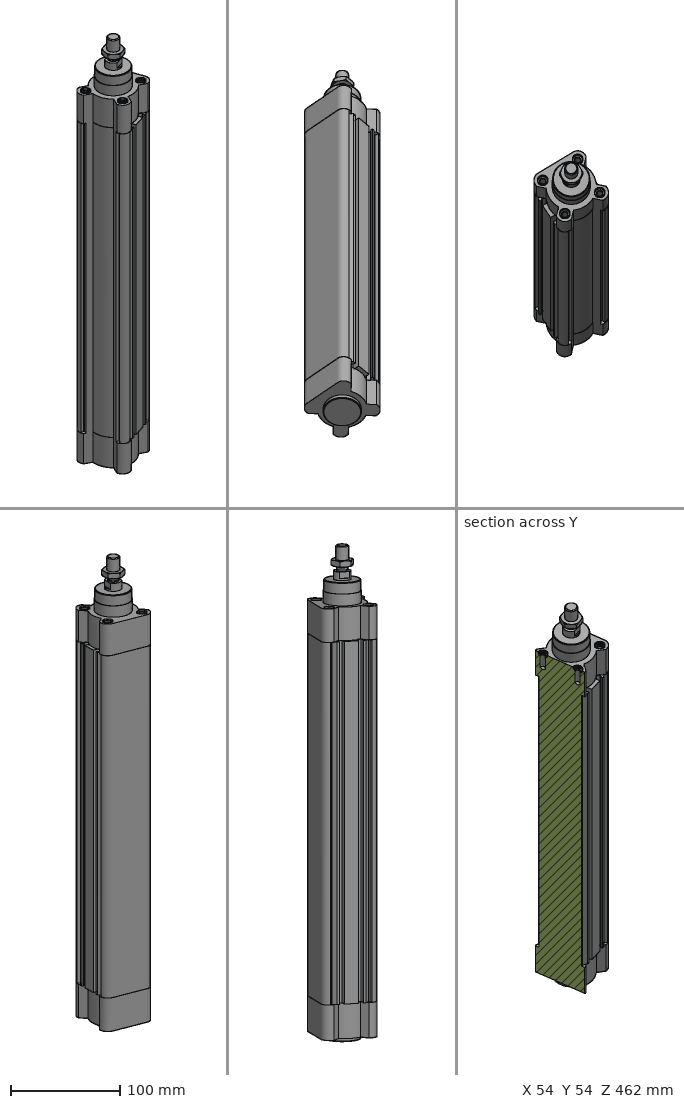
import cadquery as cq
import math

TOTAL_HEIGHT = 462.0
REAR_BOSS_HEIGHT = 4.0
REAR_CAP_TOP = 37.5
BARREL_TOP = 377.0
FRONT_CAP_TOP = 408.5
FRONT_BOSS_STEP = 419.5
FRONT_BOSS_TOP = 430.0

WIDTH = 54.0
HALF_WIDTH = WIDTH / 2
SCREW_SPACING = 38.0
CORNER_CENTRE = SCREW_SPACING / 2
LOBE_FLAT_END = 17.0
FLANK_OFFSET = HALF_WIDTH - LOBE_FLAT_END
CAP_ARC_RADIUS = 23.0
BARREL_INSET = 0.25
BARREL_HALF_WIDTH = HALF_WIDTH - BARREL_INSET
BARREL_ARC_RADIUS = CAP_ARC_RADIUS - BARREL_INSET

BOSS_RADIUS = 17.5
PILOT_RADIUS = 17.0
BOSS_CHAMFER = 0.7

NOTCH_DEPTH = 3.2
NOTCH_OUTER = 20.0
NOTCH_FLOOR_OUTER = 19.0
NOTCH_INNER = 14.0
NOTCH_FLOOR_INNER = 17.5

SLOT_MOUTH_OUTER = 11.5
SLOT_MOUTH_INNER = 7.0
SLOT_LIP = 2.0
SLOT_UNDERCUT = 2.5
SLOT_FLOOR = 20.0

RECESS_DIAMETER = 9.5
RECESS_DEPTH = 1.5
SEAT_DIAMETER = 9.0
SEAT_DEPTH = 3.0
THREAD_RELIEF_DIAMETER = 6.0
THREAD_RELIEF_DEPTH = 4.0
SCREW_HOLE_DIAMETER = 5.0
SCREW_HOLE_DEPTH = 18.5
DRILL_TIP_ANGLE = 118.0

ROD_DIAMETER = 16.0
ROD_RADIUS = ROD_DIAMETER / 2
ROD_SHOULDER = 438.0
ROD_FLAT_WIDTH = 13.0
ROD_FLAT_BOTTOM = 432.0
ROD_SOCKET_DEPTH = 4.5
THREAD_RADIUS = 6.0
THREAD_CHAMFER = 1.0
NECK_RADIUS = 5.0
COLLAR_DIAMETER = 10.5
COLLAR_TOP = 439.3
NECK_TOP = 441.5

NUT_BOTTOM = 443.0
NUT_HEIGHT = 5.5
NUT_ACROSS_FLATS = 19.0
NUT_CHAMFER_RADIUS = 9.5
NUT_CHAMFER_ANGLE = 30.0


def bar(outline, bottom, top):
    """Straight bar with the given outline between two heights."""
    return outline.extrude(top - bottom).translate((0, 0, bottom))


def disc(radius, bottom, top):
    return cq.Workplane("XY", origin=(0, 0, bottom)).circle(radius).extrude(top - bottom)


def cylinder_profile(half_width, arc_radius):
    """Bar outline: flat +Y side, three scalloped sides and a rounded lobe at each corner."""
    flank_end = (math.sqrt(2 * arc_radius ** 2 - FLANK_OFFSET ** 2) - FLANK_OFFSET) / 2
    wall = flank_end + FLANK_OFFSET
    tip = CORNER_CENTRE + (half_width - CORNER_CENTRE) * math.sqrt(0.5)
    h, c, s = half_width, CORNER_CENTRE, half_width - FLANK_OFFSET
    return (
        cq.Workplane("XY")
        .moveTo(-c, h)
        .lineTo(c, h)
        .threePointArc((tip, tip), (h, c))
        .lineTo(h, s)
        .lineTo(wall, flank_end)
        .threePointArc((arc_radius, 0), (wall, -flank_end))
        .lineTo(h, -s)
        .lineTo(h, -c)
        .threePointArc((tip, -tip), (c, -h))
        .lineTo(s, -h)
        .lineTo(flank_end, -wall)
        .threePointArc((0, -arc_radius), (-flank_end, -wall))
        .lineTo(-s, -h)
        .lineTo(-c, -h)
        .threePointArc((-tip, -tip), (-h, -c))
        .lineTo(-h, -s)
        .lineTo(-wall, -flank_end)
        .threePointArc((-arc_radius, 0), (-wall, flank_end))
        .lineTo(-h, s)
        .lineTo(-h, c)
        .threePointArc((-tip, tip), (-c, h))
        .close()
    )


def mirrored(shape, plane):
    return shape.union(shape.mirror(plane))


def side_block():
    """Solid block that fills the scallop on the -X side out to the barrel's width."""
    block = cq.Workplane("XY").polyline(
        [
            (-SLOT_FLOOR, -CORNER_CENTRE),
            (-BARREL_HALF_WIDTH, -CORNER_CENTRE),
            (-BARREL_HALF_WIDTH, CORNER_CENTRE),
            (-SLOT_FLOOR, CORNER_CENTRE),
        ]
    ).close()
    return bar(block, REAR_CAP_TOP, BARREL_TOP)


def sensor_slot():
    """Slot on the -X side at +Y, undercut behind the lip on its outer edge."""
    lip_back = SLOT_LIP - BARREL_HALF_WIDTH
    outline = cq.Workplane("XY").polyline(
        [
            (-BARREL_HALF_WIDTH, SLOT_MOUTH_INNER),
            (-BARREL_HALF_WIDTH, SLOT_MOUTH_OUTER),
            (lip_back, SLOT_MOUTH_OUTER),
            (lip_back + SLOT_UNDERCUT, SLOT_MOUTH_OUTER + SLOT_UNDERCUT),
            (-SLOT_FLOOR, SLOT_MOUTH_OUTER),
            (-SLOT_FLOOR, SLOT_MOUTH_INNER),
        ]
    ).close()
    return bar(outline, REAR_CAP_TOP, BARREL_TOP)


def lobe_notch():
    """Notch beside the -X, -Y lobe, open to the -Y side."""
    floor = NOTCH_DEPTH - BARREL_HALF_WIDTH
    outline = cq.Workplane("XY").polyline(
        [
            (-NOTCH_OUTER, -BARREL_HALF_WIDTH),
            (-NOTCH_FLOOR_OUTER, floor),
            (-NOTCH_FLOOR_INNER, floor),
            (-NOTCH_INNER, -BARREL_HALF_WIDTH),
        ]
    ).close()
    return bar(outline, REAR_CAP_TOP, BARREL_TOP)


def barrel():
    body = bar(cylinder_profile(BARREL_HALF_WIDTH, BARREL_ARC_RADIUS), REAR_CAP_TOP, BARREL_TOP)
    body = body.union(mirrored(side_block(), "YZ"))
    front_notch = lobe_notch()
    side_notch = front_notch.mirror("XZ").rotate((0, 0, 0), (0, 0, 1), 90)
    side_cuts = mirrored(side_notch.union(sensor_slot()), "XZ")
    return body.cut(mirrored(front_notch, "YZ")).cut(mirrored(side_cuts, "YZ"))


def front_boss():
    pilot = disc(PILOT_RADIUS, FRONT_BOSS_STEP, FRONT_BOSS_TOP).faces(">Z").chamfer(BOSS_CHAMFER)
    return disc(BOSS_RADIUS, FRONT_CAP_TOP, FRONT_BOSS_STEP).union(pilot)


def rear_boss():
    return disc(BOSS_RADIUS, 0, REAR_BOSS_HEIGHT).faces("<Z").chamfer(BOSS_CHAMFER)


def screw_holes():
    """Recessed, drill-pointed holes at the four corners of the front cap."""
    corners = [
        (sx * CORNER_CENTRE, sy * CORNER_CENTRE) for sx in (-1, 1) for sy in (-1, 1)
    ]
    tip_depth = SCREW_HOLE_DIAMETER / 2 / math.tan(math.radians(DRILL_TIP_ANGLE / 2))
    steps = [
        (RECESS_DIAMETER, RECESS_DEPTH),
        (SEAT_DIAMETER, SEAT_DEPTH),
        (THREAD_RELIEF_DIAMETER, THREAD_RELIEF_DEPTH),
        (SCREW_HOLE_DIAMETER, SCREW_HOLE_DEPTH),
    ]
    section = [(0, 0)]
    floor = 0
    for diameter, depth in steps:
        section += [(diameter / 2, floor), (diameter / 2, -depth)]
        floor = -depth
    section.append((0, floor - tip_depth))
    half_section = cq.Workplane("XZ").polyline(section).close()
    hole = half_section.revolve(360, (0, 0, 0), (0, 1, 0)).val()
    return [hole.translate(cq.Vector(x, y, FRONT_CAP_TOP)) for x, y in corners]


def make_rod():
    """Piston rod with wrench flats, a neck and a threaded end."""
    bottom = FRONT_BOSS_TOP - ROD_SOCKET_DEPTH
    rod = disc(ROD_RADIUS, bottom, ROD_SHOULDER)
    flats = (
        cq.Workplane("XY", origin=(0, 0, ROD_FLAT_BOTTOM))
        .rect(2 * ROD_DIAMETER, 2 * ROD_DIAMETER)
        .rect(ROD_FLAT_WIDTH, ROD_DIAMETER)
        .extrude(ROD_SHOULDER - ROD_FLAT_BOTTOM)
    )
    rod = rod.cut(flats)
    thread = disc(THREAD_RADIUS, NECK_TOP, TOTAL_HEIGHT).faces(">Z").chamfer(THREAD_CHAMFER)
    collar = disc(COLLAR_DIAMETER / 2, ROD_SHOULDER, COLLAR_TOP)
    neck = disc(NECK_RADIUS, COLLAR_TOP, NECK_TOP)
    return rod.union(collar).union(neck).union(thread)


def make_housing():
    """Front cap, barrel and rear cap in one piece, with a socket for the rod."""
    front_cap = bar(cylinder_profile(HALF_WIDTH, CAP_ARC_RADIUS), BARREL_TOP, FRONT_CAP_TOP)
    rear_cap = bar(cylinder_profile(HALF_WIDTH, CAP_ARC_RADIUS), REAR_BOSS_HEIGHT, REAR_CAP_TOP)
    for hole in screw_holes():
        front_cap = front_cap.cut(cq.Workplane(hole))
    housing = barrel().union(front_cap).union(rear_cap)
    housing = housing.union(front_boss()).union(rear_boss())
    return housing.cut(disc(ROD_RADIUS, FRONT_BOSS_TOP - ROD_SOCKET_DEPTH, FRONT_BOSS_TOP))


def make_nut():
    """Hexagon nut with corners towards +Y and -Y and both ends chamfered."""
    across_corners = NUT_ACROSS_FLATS / math.cos(math.pi / 6)
    chamfer = across_corners / 2 - NUT_CHAMFER_RADIUS
    chamfer_height = chamfer * math.tan(math.radians(NUT_CHAMFER_ANGLE))
    nut_top = NUT_BOTTOM + NUT_HEIGHT
    hexagon = (
        cq.Workplane("XY", origin=(0, 0, NUT_BOTTOM))
        .polygon(6, across_corners)
        .extrude(NUT_HEIGHT)
        .rotate((0, 0, 0), (0, 0, 1), 90)
    )
    blank = disc(across_corners / 2, NUT_BOTTOM, nut_top)
    blank = blank.faces(">Z").chamfer(chamfer_height, chamfer)
    blank = blank.faces("<Z").chamfer(chamfer_height, chamfer)
    nut = hexagon.intersect(blank)
    return nut.cut(disc(THREAD_RADIUS, NUT_BOTTOM, nut_top))


housing = make_housing()
rod = make_rod()
nut = make_nut()
result = cq.Compound.makeCompound([housing.val(), rod.val(), nut.val()])